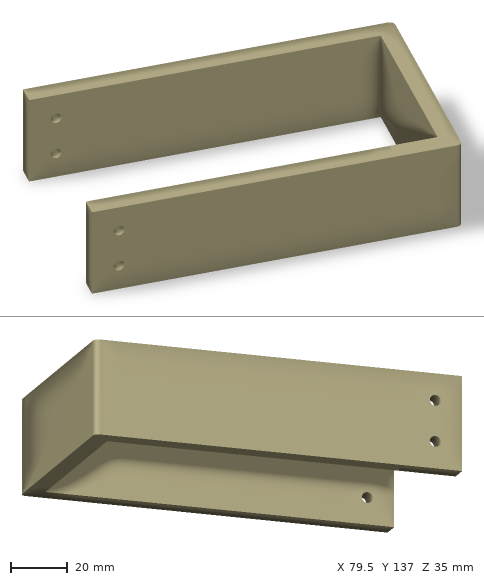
import cadquery as cq

width = 79.5
length = 137.0
height = 35.0
wall = 7.0
corner_radius = 2.0

hole_diameter = 4.0
hole_spacing = 15.1
hole_end_distance = 10.0


def make_bracket():
    """U-shaped strip, open toward -Y, with rounded outer corners at the closed end."""
    block = cq.Workplane("XY").box(width, length, height)
    block = block.edges("|Z and >Y").fillet(corner_radius)
    opening = (
        cq.Workplane("XY")
        .box(width - 2 * wall, length, height)
        .translate((0, -wall, 0))
    )
    return block.cut(opening)


def make_arm_holes():
    """Two cylinders along X, one above the other, long enough to cross both arms."""
    hole_y = hole_end_distance - length / 2
    return (
        cq.Workplane("YZ")
        .pushPoints([(hole_y, side * hole_spacing / 2) for side in (-1, 1)])
        .circle(hole_diameter / 2)
        .extrude(width, both=True)
    )


result = make_bracket().cut(make_arm_holes())